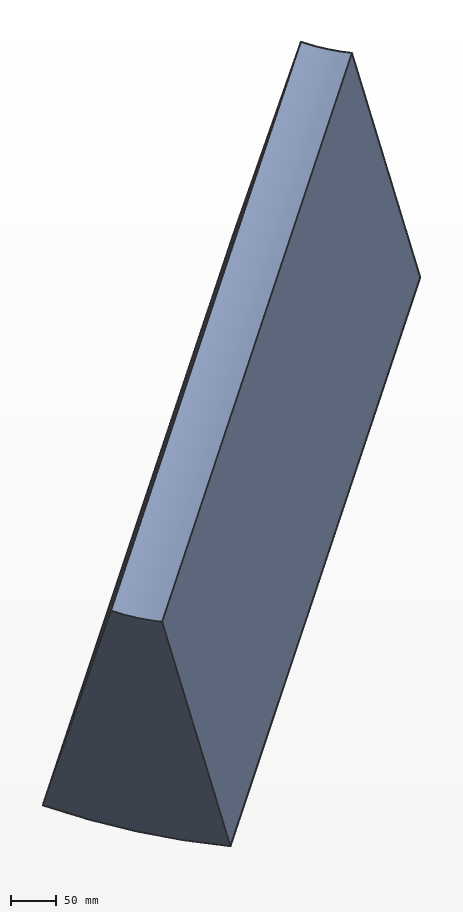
import cadquery as cq
import math

length = 800.0
outer_radius = 547.0
inner_radius = 149.0
segments_per_ring = 16
half_angle = math.pi / segments_per_ring


def point_on_ring(radius, angle):
    """Point in the XZ plane at an angle measured from straight down."""
    return (radius * math.sin(angle), -radius * math.cos(angle))


profile = (
    cq.Workplane("XZ", origin=(0, length / 2, 0))
    .moveTo(*point_on_ring(inner_radius, -half_angle))
    .lineTo(*point_on_ring(outer_radius, -half_angle))
    .threePointArc(point_on_ring(outer_radius, 0), point_on_ring(outer_radius, half_angle))
    .lineTo(*point_on_ring(inner_radius, half_angle))
    .threePointArc(point_on_ring(inner_radius, 0), point_on_ring(inner_radius, -half_angle))
    .close()
)

result = profile.extrude(length)